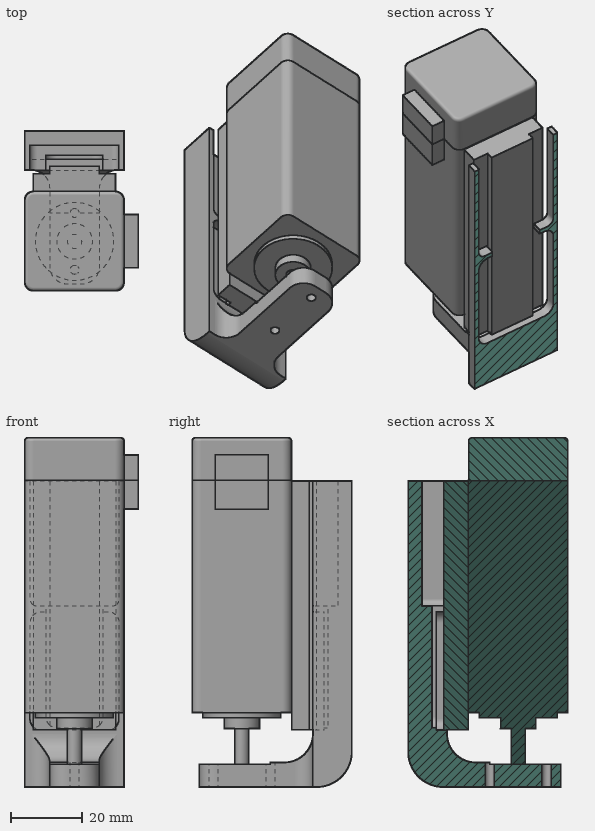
import cadquery as cq

MOTOR_WIDTH = 28.0
MOTOR_AXIS_Y = MOTOR_WIDTH / 2
MOTOR_CORNER_RADIUS = 2.5
TOP_Z = 98.35
CAP_HEIGHT = 12.0
CAP_EDGE_FILLET = 1.0
SEAM_Z = TOP_Z - CAP_HEIGHT
MOTOR_BOTTOM_Z = 21.0

PILOT_DIAMETER = 22.0
PILOT_HEIGHT = 1.5
COLLAR_DIAMETER = 10.0
COLLAR_HEIGHT = 3.0
ROD_DIAMETER = 4.0

CONNECTOR_DEPTH = 4.0
CONNECTOR_WIDTH = 15.0
CONNECTOR_BOTTOM_Z = 78.2
CONNECTOR_TOP_Z = 93.5

BRACKET_WIDTH = MOTOR_WIDTH
BRACKET_BACK_Y = 45.0
BRACKET_FRONT_Y = 34.0
BRACKET_HEIGHT = 86.15
BRACKET_HEEL_RADIUS = 10.0

ARM_WIDTH = 14.0
ARM_TIP_Y = 2.0
ARM_TIP_RADIUS = 5.0
ARM_ROOT_RADIUS = 5.0
ARM_THICKNESS = 7.0
ARM_TOP_FILLET = 8.0
ARM_STEP_DEPTH = 0.5
ARM_STEP_Y = 22.0
ARM_SEAT_Z = ARM_THICKNESS - ARM_STEP_DEPTH
ARM_HOLE_DIAMETER = 2.5
ARM_HOLE_SPACING = 16.0

PLATE_WIDTH = 23.2
PLATE_THICKNESS = 5.0
PLATE_LENGTH = 70.0
PLATE_TOP_Z = BRACKET_HEIGHT
PLATE_BOTTOM_Z = PLATE_TOP_Z - PLATE_LENGTH
NECK_WIDTH = 14.0
NECK_THICKNESS = 2.0

POCKET_WIDTH = 25.0
UPPER_POCKET_CORNER_RADIUS = 2.0
LOWER_POCKET_CORNER_RADIUS = 3.0
UPPER_POCKET_DEPTH = 7.0
UPPER_POCKET_BOTTOM_Z = 51.0
LOWER_POCKET_DEPTH = 3.0
LOWER_POCKET_BOTTOM_Z = PLATE_BOTTOM_Z
LOWER_POCKET_TOP_Z = 49.4
SLOT_WIDTH = 16.0
SLOT_DEPTH = 4.2
SLOT_CORNER_RADIUS = 3.0
SLOT_BOTTOM_Z = 16.75


def block(x_range, y_range, z_range):
    """Rectangular block between the given limits."""
    size = [high - low for low, high in (x_range, y_range, z_range)]
    corner = (x_range[0], y_range[0], z_range[0])
    return cq.Workplane("XY").box(*size, centered=False).translate(corner)


def centered_block(width, y_range, z_range):
    """Rectangular block centred on x = 0."""
    return block((-width / 2, width / 2), y_range, z_range)


def motor_column(bottom_z, top_z):
    """Stretch of the motor's round-cornered square column."""
    column = centered_block(MOTOR_WIDTH, (0, MOTOR_WIDTH), (bottom_z, top_z))
    return column.edges("|Z").fillet(MOTOR_CORNER_RADIUS)


def axis_cylinder(diameter, bottom_z, top_z):
    """Cylinder on the motor axis."""
    base = cq.Workplane("XY", origin=(0, MOTOR_AXIS_Y, bottom_z))
    return base.circle(diameter / 2).extrude(top_z - bottom_z)


def connector_block(bottom_z, top_z):
    """Stretch of the connector on the motor's +X side."""
    side_x = MOTOR_WIDTH / 2
    half_width = CONNECTOR_WIDTH / 2
    return block(
        (side_x, side_x + CONNECTOR_DEPTH),
        (MOTOR_AXIS_Y - half_width, MOTOR_AXIS_Y + half_width),
        (bottom_z, top_z),
    )


def make_motor():
    """Motor with its stepped output end and the lower part of the connector."""
    pilot_bottom_z = MOTOR_BOTTOM_Z - PILOT_HEIGHT
    collar_bottom_z = pilot_bottom_z - COLLAR_HEIGHT
    motor = motor_column(MOTOR_BOTTOM_Z, SEAM_Z)
    motor = motor.union(axis_cylinder(PILOT_DIAMETER, pilot_bottom_z, MOTOR_BOTTOM_Z))
    motor = motor.union(axis_cylinder(COLLAR_DIAMETER, collar_bottom_z, pilot_bottom_z))
    motor = motor.union(axis_cylinder(ROD_DIAMETER, ARM_SEAT_Z, collar_bottom_z))
    return motor.union(connector_block(CONNECTOR_BOTTOM_Z, SEAM_Z))


def make_cap():
    """Cap on the motor with a rounded top rim and the upper part of the connector."""
    cap = motor_column(SEAM_Z, TOP_Z)
    cap = cap.faces(">Z").edges().fillet(CAP_EDGE_FILLET)
    return cap.union(connector_block(SEAM_Z, CONNECTOR_TOP_Z))


def make_slide_plate():
    """T-shaped bar: a wide plate against the motor and a narrow neck behind it."""
    plate_back_y = MOTOR_WIDTH + PLATE_THICKNESS
    z_range = (PLATE_BOTTOM_Z, PLATE_TOP_Z)
    plate = centered_block(PLATE_WIDTH, (MOTOR_WIDTH, plate_back_y), z_range)
    neck = centered_block(NECK_WIDTH, (plate_back_y, plate_back_y + NECK_THICKNESS), z_range)
    return plate.union(neck)


def bracket_side_profile():
    """Side silhouette of the bracket, extruded over its full width."""
    profile = (
        cq.Workplane("YZ", origin=(-BRACKET_WIDTH / 2, 0, 0))
        .moveTo(ARM_TIP_Y, 0)
        .lineTo(BRACKET_BACK_Y - BRACKET_HEEL_RADIUS, 0)
        .radiusArc((BRACKET_BACK_Y, BRACKET_HEEL_RADIUS), -BRACKET_HEEL_RADIUS)
        .lineTo(BRACKET_BACK_Y, BRACKET_HEIGHT)
        .lineTo(BRACKET_FRONT_Y, BRACKET_HEIGHT)
        .lineTo(BRACKET_FRONT_Y, ARM_THICKNESS + ARM_TOP_FILLET)
        .radiusArc((BRACKET_FRONT_Y - ARM_TOP_FILLET, ARM_THICKNESS), ARM_TOP_FILLET)
        .lineTo(ARM_STEP_Y, ARM_THICKNESS)
        .lineTo(ARM_STEP_Y, ARM_SEAT_Z)
        .lineTo(ARM_TIP_Y, ARM_SEAT_Z)
        .close()
    )
    return profile.extrude(BRACKET_WIDTH)


def bracket_plan():
    """Plan outline of the bracket: arm with a round-cornered tip and flared root."""
    half_arm = ARM_WIDTH / 2
    half_root = half_arm + ARM_ROOT_RADIUS
    half_tip = half_arm - ARM_TIP_RADIUS
    half_bracket = BRACKET_WIDTH / 2
    root_y = BRACKET_FRONT_Y - ARM_ROOT_RADIUS
    tip_y = ARM_TIP_Y + ARM_TIP_RADIUS
    plan = (
        cq.Workplane("XY")
        .moveTo(-half_tip, ARM_TIP_Y)
        .lineTo(half_tip, ARM_TIP_Y)
        .radiusArc((half_arm, tip_y), -ARM_TIP_RADIUS)
        .lineTo(half_arm, root_y)
        .radiusArc((half_root, BRACKET_FRONT_Y), ARM_ROOT_RADIUS)
        .lineTo(half_bracket, BRACKET_FRONT_Y)
        .lineTo(half_bracket, BRACKET_BACK_Y)
        .lineTo(-half_bracket, BRACKET_BACK_Y)
        .lineTo(-half_bracket, BRACKET_FRONT_Y)
        .lineTo(-half_root, BRACKET_FRONT_Y)
        .radiusArc((-half_arm, root_y), ARM_ROOT_RADIUS)
        .lineTo(-half_arm, tip_y)
        .radiusArc((-half_tip, ARM_TIP_Y), -ARM_TIP_RADIUS)
        .close()
    )
    return plan.extrude(BRACKET_HEIGHT)


def front_pocket(width, depth, bottom_z, top_z, corner_radius, rounded_edges):
    """Cutter for a pocket in the upright's front face, with the chosen corners rounded."""
    y_range = (BRACKET_FRONT_Y, BRACKET_FRONT_Y + depth)
    cutter = centered_block(width, y_range, (bottom_z, top_z))
    return cutter.edges(rounded_edges).fillet(corner_radius)


def make_bracket():
    """Bracket with its two front pockets, the slot joining them and the arm holes."""
    bottom_corners = "|Y and <Z"
    all_corners = "|Y"
    upper_pocket = front_pocket(
        POCKET_WIDTH, UPPER_POCKET_DEPTH, UPPER_POCKET_BOTTOM_Z, BRACKET_HEIGHT,
        UPPER_POCKET_CORNER_RADIUS, bottom_corners,
    )
    lower_pocket = front_pocket(
        POCKET_WIDTH, LOWER_POCKET_DEPTH, LOWER_POCKET_BOTTOM_Z, LOWER_POCKET_TOP_Z,
        LOWER_POCKET_CORNER_RADIUS, all_corners,
    )
    slot = front_pocket(
        SLOT_WIDTH, SLOT_DEPTH, SLOT_BOTTOM_Z, BRACKET_HEIGHT,
        SLOT_CORNER_RADIUS, bottom_corners,
    )
    arm_holes = (
        cq.Workplane("XY")
        .center(0, MOTOR_AXIS_Y)
        .rarray(1, ARM_HOLE_SPACING, 1, 2)
        .circle(ARM_HOLE_DIAMETER / 2)
        .extrude(ARM_THICKNESS)
    )
    bracket = bracket_side_profile().intersect(bracket_plan())
    for cutter in (upper_pocket, lower_pocket, slot, arm_holes):
        bracket = bracket.cut(cutter)
    return bracket


bracket = make_bracket()
slide_plate = make_slide_plate()
motor = make_motor()
cap = make_cap()

bodies = [bracket, slide_plate, motor, cap]
result = cq.Compound.makeCompound([body.solids().val() for body in bodies])